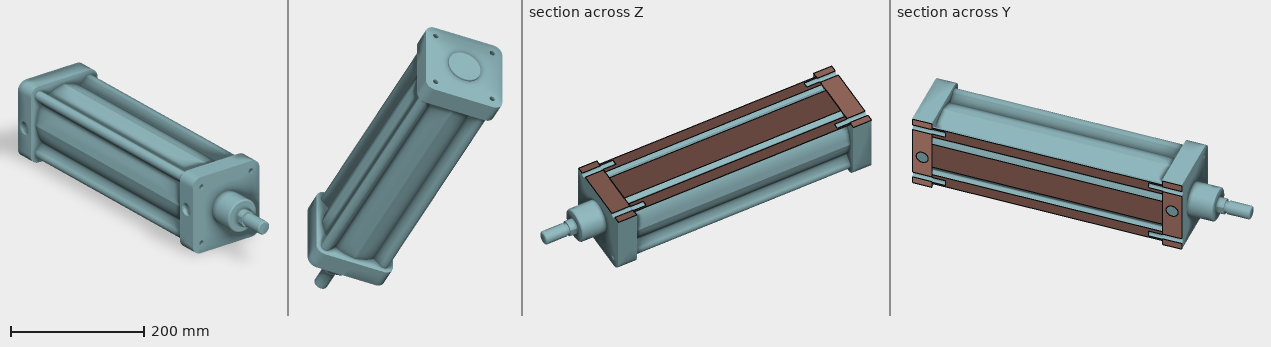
import cadquery as cq
import math


TOTAL_LENGTH = 531.0
BOSS_DIAMETER = 53.0
REAR_BOSS_LENGTH = 3.5
CAP_LENGTH = 32.0
BARREL_LENGTH = 369.5
FRONT_BOSS_LENGTH = 41.0
REAR_CAP_START = REAR_BOSS_LENGTH
BARREL_START = REAR_CAP_START + CAP_LENGTH
FRONT_CAP_START = BARREL_START + BARREL_LENGTH
FRONT_BOSS_START = FRONT_CAP_START + CAP_LENGTH
FRONT_BOSS_END = FRONT_BOSS_START + FRONT_BOSS_LENGTH

CAP_WIDTH = 126.0
CAP_CORNER_RADIUS = 15.0
REAR_BOSS_FILLET = 1.5
FRONT_BOSS_FILLET = 2.5
PORT_DIAMETER = 20.5
PORT_CHAMFER = 1.0
PORT_DEPTH = 16.0
PORT_OFFSET = 8.0
SCREW_HOLE_DIAMETER = 8.5
SCREW_HOLE_SPACING = 93.0

BARREL_RADIUS = 52.5
RIDGE_FLAT_HALF_WIDTH = 11.5
LOBE_SPACING = 95.0
LOBE_DIAMETER = 15.5
LOBE_HOLE_DIAMETER = 8.5
LOBE_HOLE_DEPTH = 21.0
WEB_WIDTH = 15.0
WEB_FILLET = 2.0
ROOT_TOLERANCE = 0.05

ROD_DIAMETER = 24.5
COLLAR_LENGTH = 1.0
FLATS_START = FRONT_BOSS_END + COLLAR_LENGTH
WRENCH_FLAT_DISTANCE = 22.0
WRENCH_FLAT_LENGTH = 11.0
FLATS_END = FLATS_START + WRENCH_FLAT_LENGTH
NECK_DIAMETER = 18.5
NECK_LENGTH = 5.0
THREAD_DIAMETER = 21.0
THREAD_CHAMFER = 1.5


def yz_plane(x):
    """Workplane across the axis at the given X, local axes along Y and Z."""
    return cq.Workplane("YZ", origin=(x, 0, 0))


def corner_rods(start, length, spacing, diameter):
    """Four round rods along X, one on each corner of a square of the given spacing."""
    return (
        yz_plane(start)
        .rect(spacing, spacing, forConstruction=True)
        .vertices()
        .circle(diameter / 2)
        .extrude(length)
    )


def make_cap(start, port_z):
    """Square end cap with a chamfered blind port in its -Y side and four screw holes."""
    cap = yz_plane(start).rect(CAP_WIDTH, CAP_WIDTH).extrude(CAP_LENGTH)
    cap = cap.edges("|X").fillet(CAP_CORNER_RADIUS)
    port = (
        cq.Workplane("XZ", origin=(start + CAP_LENGTH / 2, -CAP_WIDTH / 2, port_z))
        .circle(PORT_DIAMETER / 2 - PORT_CHAMFER)
        .extrude(-PORT_DEPTH)
    )
    cap = cap.cut(port)
    cap = cap.faces("<Y").edges("%CIRCLE").chamfer(PORT_CHAMFER)
    return cap.cut(corner_rods(start, CAP_LENGTH, SCREW_HOLE_SPACING, SCREW_HOLE_DIAMETER))


def make_rear_cap():
    cap = make_cap(REAR_CAP_START, -PORT_OFFSET)
    boss = yz_plane(0).circle(BOSS_DIAMETER / 2).extrude(REAR_BOSS_LENGTH)
    return cap.union(boss.faces("<X").fillet(REAR_BOSS_FILLET))


def make_front_cap():
    cap = make_cap(FRONT_CAP_START, PORT_OFFSET)
    boss = yz_plane(FRONT_BOSS_START).circle(BOSS_DIAMETER / 2).extrude(FRONT_BOSS_LENGTH)
    boss = boss.faces(">X").fillet(FRONT_BOSS_FILLET)
    bore_length = FRONT_BOSS_END - FRONT_CAP_START
    rod_bore = yz_plane(FRONT_CAP_START).circle(ROD_DIAMETER / 2).extrude(bore_length)
    return cap.union(boss).cut(rod_bore)


def make_ridge():
    """Wedge whose two upper planes are tangent to the barrel and meet on its centre plane."""
    tangent_angle = math.asin(RIDGE_FLAT_HALF_WIDTH / BARREL_RADIUS)
    tangent_height = BARREL_RADIUS * math.cos(tangent_angle)
    ridge_height = BARREL_RADIUS / math.cos(tangent_angle)
    return (
        yz_plane(BARREL_START)
        .lineTo(RIDGE_FLAT_HALF_WIDTH, tangent_height)
        .lineTo(0, ridge_height)
        .lineTo(-RIDGE_FLAT_HALF_WIDTH, tangent_height)
        .close()
        .extrude(BARREL_LENGTH)
    )


def is_web_root(edge):
    """True for the lengthwise edges where the webs leave the round barrel."""
    center = edge.Center()
    on_barrel = abs(math.hypot(center.y, center.z) - BARREL_RADIUS) < ROOT_TOLERANCE
    clear_of_ridges = min(abs(center.y), abs(center.z)) > RIDGE_FLAT_HALF_WIDTH + ROOT_TOLERANCE
    return on_barrel and clear_of_ridges


def make_barrel():
    """Round barrel with a shallow ridge on each side and a webbed, drilled lobe on each diagonal."""
    barrel = yz_plane(BARREL_START).circle(BARREL_RADIUS).extrude(BARREL_LENGTH)
    web_span = LOBE_SPACING * math.sqrt(2)
    web = yz_plane(BARREL_START).rect(web_span, WEB_WIDTH).extrude(BARREL_LENGTH)
    for angle in (45, 135):
        barrel = barrel.union(web.rotate((0, 0, 0), (1, 0, 0), angle))
    barrel = barrel.edges("|X").filter(is_web_root).fillet(WEB_FILLET)

    for angle in (0, 90, 180, 270):
        barrel = barrel.union(make_ridge().rotate((0, 0, 0), (1, 0, 0), angle))

    barrel = barrel.union(corner_rods(BARREL_START, BARREL_LENGTH, LOBE_SPACING, LOBE_DIAMETER))
    for hole_start in (BARREL_START, FRONT_CAP_START - LOBE_HOLE_DEPTH):
        barrel = barrel.cut(corner_rods(hole_start, LOBE_HOLE_DEPTH, LOBE_SPACING, LOBE_HOLE_DIAMETER))
    return barrel


def make_rod():
    """Piston rod with two wrench flats, a thread relief neck and a chamfered thread end."""
    rod = yz_plane(FRONT_CAP_START).circle(ROD_DIAMETER / 2).extrude(FLATS_START - FRONT_CAP_START)
    shoulder = yz_plane(FLATS_START).circle(ROD_DIAMETER / 2).extrude(WRENCH_FLAT_LENGTH)
    flats = yz_plane(FLATS_START).rect(WRENCH_FLAT_DISTANCE, ROD_DIAMETER).extrude(WRENCH_FLAT_LENGTH)
    shoulder = shoulder.intersect(flats)
    neck = yz_plane(FLATS_END).circle(NECK_DIAMETER / 2).extrude(NECK_LENGTH)
    thread_start = FLATS_END + NECK_LENGTH
    thread = yz_plane(thread_start).circle(THREAD_DIAMETER / 2).extrude(TOTAL_LENGTH - thread_start)
    thread = thread.faces(">X").chamfer(THREAD_CHAMFER)
    return rod.union(shoulder).union(neck).union(thread)


rear_cap = make_rear_cap()
front_cap = make_front_cap()
barrel = make_barrel()
rod = make_rod()

bodies = [rear_cap, front_cap, barrel, rod]

result = cq.Compound.makeCompound([body.solids().val() for body in bodies])